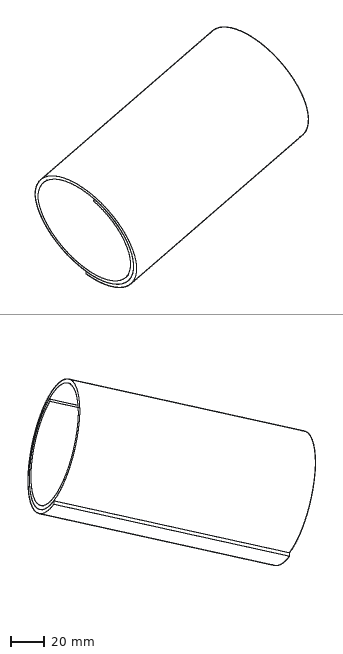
import cadquery as cq
import math

length = 152.4
outer_radius = 41.3
wall = 2.5
overlap_gap = 0.08
flat_half_height = 0.8
inner_edge_angle = 80.0
edge_rounding = 1.0

layer_radius = outer_radius - wall - overlap_gap

flat_x = -math.sqrt(outer_radius**2 - flat_half_height**2)
transition_center_z = (outer_radius**2 - layer_radius**2) / (2 * (layer_radius - flat_half_height))
transition_radius = layer_radius + transition_center_z
transition_start = math.degrees(math.atan2(-flat_half_height - transition_center_z, flat_x))
flat_angle = math.degrees(math.atan2(flat_half_height, flat_x))
bottom_angle = -90.0


def polar(radius, angle, center_z=0.0):
    """Point in the XZ profile at an angle in degrees about (0, center_z)."""
    a = math.radians(angle)
    return (radius * math.cos(a), center_z + radius * math.sin(a))


def arc(sketch, radius, start, end, center_z=0.0):
    """Continue the outline along an arc from the start angle to the end angle."""
    middle = polar(radius, (start + end) / 2, center_z)
    return sketch.threePointArc(middle, polar(radius, end, center_z))


def rolled_profile():
    """Closed outline: along the outside of the sheet, then back along its inside."""
    outline = cq.Workplane("XZ").moveTo(*polar(outer_radius, bottom_angle))
    outline = arc(outline, outer_radius, bottom_angle, flat_angle)
    outline = outline.lineTo(*polar(transition_radius, transition_start, transition_center_z))
    outline = arc(outline, transition_radius, transition_start, bottom_angle, transition_center_z)
    outline = arc(outline, layer_radius, bottom_angle, inner_edge_angle)

    outline = outline.lineTo(*polar(layer_radius - wall, inner_edge_angle))
    outline = arc(outline, layer_radius - wall, inner_edge_angle, bottom_angle)
    inside_radius = transition_radius - wall
    outline = arc(outline, inside_radius, bottom_angle, transition_start, transition_center_z)
    outline = outline.lineTo(*polar(outer_radius - wall, flat_angle))
    outline = arc(outline, outer_radius - wall, flat_angle, bottom_angle)
    return outline.close()


tube = rolled_profile().extrude(length / 2, both=True)

corner_x, corner_z = polar(layer_radius, inner_edge_angle)
corner = cq.selectors.NearestToPointSelector((corner_x, 0, corner_z))
result = tube.edges("|Y").edges(corner).fillet(edge_rounding)